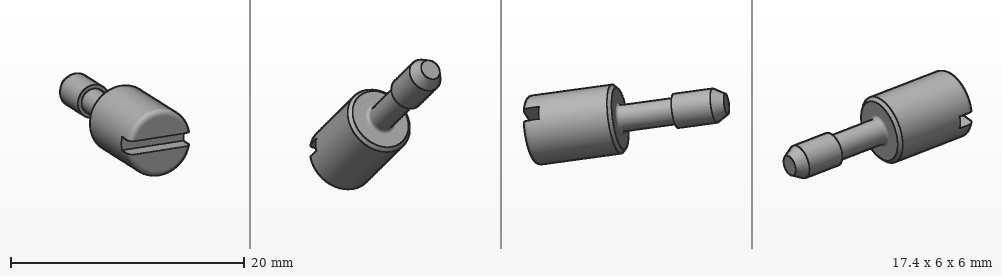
import cadquery as cq
import math

total_length = 17.4
tip_length = 4.5
tip_taper_length = 1.03
head_start = 9.5

tip_diameter = 3.0
neck_diameter = 2.3
head_diameter = 6.0

tip_taper_angle = 30.0
neck_fillet = 0.3
head_chamfer = 0.31
head_end_fillet = 0.5

slot_width = 1.2
slot_depth = 1.5

tip_radius = tip_diameter / 2
neck_radius = neck_diameter / 2
head_radius = head_diameter / 2
tip_end_radius = tip_radius - tip_taper_length * math.tan(math.radians(tip_taper_angle))


def turned_body():
    """Revolve the half profile of tip, neck and head about the X axis."""
    fillet_start = (head_start - neck_fillet, neck_radius)
    fillet_end = (head_start, neck_radius + neck_fillet)
    profile = (
        cq.Workplane("XY")
        .lineTo(0, tip_end_radius)
        .lineTo(tip_taper_length, tip_radius)
        .lineTo(tip_length, tip_radius)
        .lineTo(tip_length, neck_radius)
        .lineTo(*fillet_start)
        .tangentArcPoint(fillet_end, relative=False)
        .lineTo(head_start, head_radius - head_chamfer)
        .lineTo(head_start + head_chamfer, head_radius)
        .lineTo(total_length - head_end_fillet, head_radius)
        .tangentArcPoint((total_length, head_radius - head_end_fillet), relative=False)
        .lineTo(total_length, 0)
        .close()
    )
    return profile.revolve(360, (0, 0, 0), (1, 0, 0))


def driver_slot():
    """Box that cuts the slot through the full width of the head end."""
    return (
        cq.Workplane("XY")
        .box(slot_depth, head_diameter, slot_width, centered=(False, True, True))
        .translate((total_length - slot_depth, 0, 0))
    )


result = turned_body().cut(driver_slot())